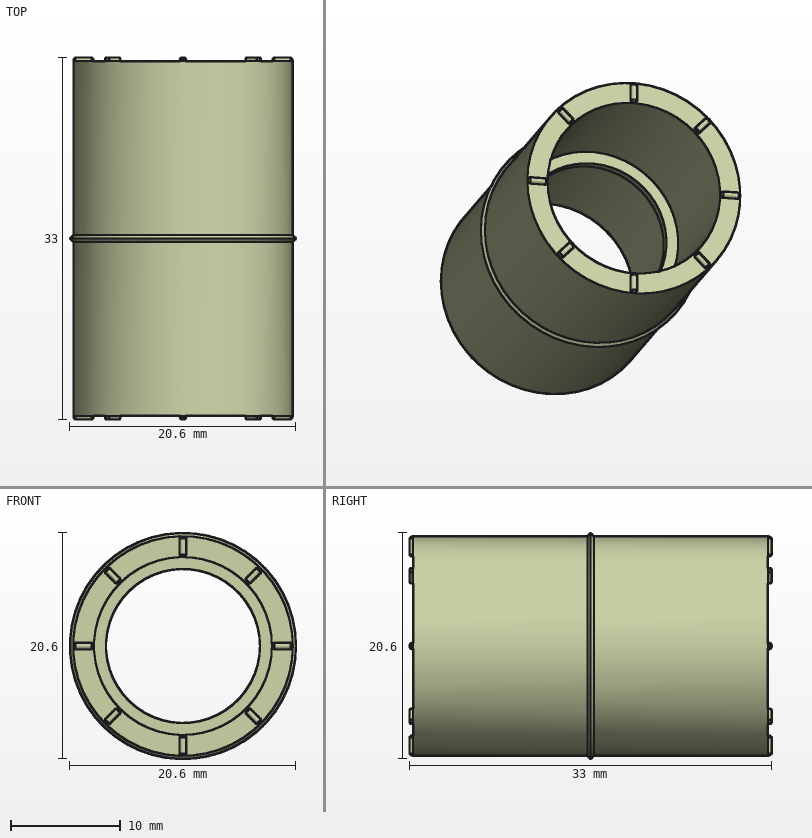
import cadquery as cq

body_length = 32.3
body_radius = 10.0
bore_radius = 8.1

web_bore_radius = 7.0
web_thickness = 1.0

ring_height = 0.3
ring_half_width = ring_height

overall_length = 33.0
rib_count = 8
rib_radius = 0.3
rib_chamfer = 0.2
rib_setback = 0.03
rib_inner_radius = bore_radius + rib_setback
rib_length = body_radius - rib_setback - rib_inner_radius

end_face = body_length / 2
rib_axis = overall_length / 2 - rib_radius


def make_sleeve():
    """Plain tube with a ring outside and a thin web inside, both at mid-length."""
    half_web = web_thickness / 2
    profile = [
        (body_radius, -end_face),
        (body_radius, -ring_half_width),
        (body_radius + ring_height, 0),
        (body_radius, ring_half_width),
        (body_radius, end_face),
        (bore_radius, end_face),
        (bore_radius, half_web),
        (web_bore_radius, half_web),
        (web_bore_radius, -half_web),
        (bore_radius, -half_web),
        (bore_radius, -end_face),
    ]
    return cq.Workplane("XY").polyline(profile).close().revolve(360, (0, 0), (0, 1))


def make_rib(angle, y):
    """Radial pin at position y along the sleeve, turned by angle about its axis."""
    pin = (
        cq.Workplane("YZ", origin=(rib_inner_radius, y, 0))
        .circle(rib_radius)
        .extrude(rib_length)
        .edges("%CIRCLE")
        .chamfer(rib_chamfer)
    )
    return pin.rotate((0, 0, 0), (0, 1, 0), angle)


result = make_sleeve()
for rib_y in (-rib_axis, rib_axis):
    for index in range(rib_count):
        result = result.union(make_rib(index * 360 / rib_count, rib_y))